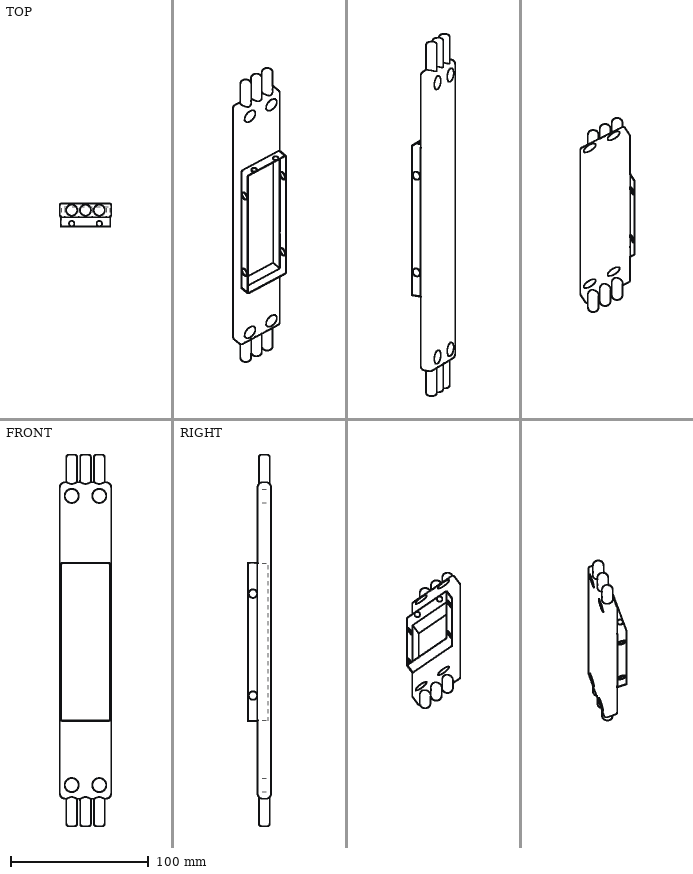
import cadquery as cq

OVERALL_DEPTH = 17.0
OVERALL_LENGTH = 270.0

BODY_WIDTH = 37.5
BODY_THICKNESS = 10.0
PIN_LENGTH = 20.0
BODY_LENGTH = OVERALL_LENGTH - 2 * PIN_LENGTH
BODY_END_RADIUS = 4.0
BODY_SIDE_RADIUS = 1.6

PIN_DIAMETER = 8.0
PIN_PITCH = 10.0
PIN_COUNT = 3
PIN_TIP_RADIUS = 2.0
PIN_ROOT_DEPTH = BODY_END_RADIUS

MOUNT_HOLE_DIAMETER = 10.0
MOUNT_HOLE_SPACING_X = 20.0
MOUNT_HOLE_SPACING_Z = 210.0

FRAME_WIDTH = 36.0
FRAME_LENGTH = 115.0
FRAME_CENTER_Z = -1.0
FRAME_DEPTH = OVERALL_DEPTH - BODY_THICKNESS
FRAME_WALL = 0.5
FRAME_CORNER_RADIUS = 1.3
OPENING_CORNER_RADIUS = 0.5
OPENING_WIDTH = FRAME_WIDTH - 2 * FRAME_WALL
OPENING_LENGTH = FRAME_LENGTH - 2 * FRAME_WALL

POCKET_FLOOR = 2.5
POCKET_DEPTH = BODY_THICKNESS - POCKET_FLOOR

SIDE_HOLE_DIAMETER = 6.0
SIDE_HOLE_SPACING = 74.0
SIDE_HOLE_CENTER_Z = -3.0
SIDE_HOLE_FROM_RIM = 3.75
TOP_HOLE_DIAMETER = 4.0
TOP_HOLE_SPACING = 20.0
TOP_HOLE_FROM_RIM = 2.2
TOP_RECESS_DEPTH = 0.1

BODY_FRONT_Y = -BODY_THICKNESS / 2
RIM_Y = BODY_FRONT_Y - FRAME_DEPTH


def make_body():
    """Rectangular bar with large end rounds and smaller rounds along its length."""
    body = cq.Workplane("XY").box(BODY_WIDTH, BODY_THICKNESS, BODY_LENGTH)
    body = body.faces("<Z or >Z").edges().fillet(BODY_END_RADIUS)
    return body.edges("|Z").fillet(BODY_SIDE_RADIUS)


def make_pins():
    """Rows of round-tipped pins, rooted inside both ends of the body."""
    root_z = BODY_LENGTH / 2 - PIN_ROOT_DEPTH
    upper = (
        cq.Workplane("XY", origin=(0, 0, root_z))
        .rarray(PIN_PITCH, 1, PIN_COUNT, 1)
        .circle(PIN_DIAMETER / 2)
        .extrude(PIN_LENGTH + PIN_ROOT_DEPTH)
        .faces(">Z")
        .edges()
        .fillet(PIN_TIP_RADIUS)
    )
    return upper.add(upper.mirror("XY")).combine()


def make_frame():
    """Outer block of the frame, with rounded corners, standing on the front face."""
    center_y = BODY_FRONT_Y - FRAME_DEPTH / 2
    return (
        cq.Workplane("XY", origin=(0, center_y, FRAME_CENTER_Z))
        .box(FRAME_WIDTH, FRAME_DEPTH, FRAME_LENGTH)
        .edges("|Y")
        .fillet(FRAME_CORNER_RADIUS)
    )


def make_opening():
    """Opening inside the frame, with slightly rounded corners."""
    center_y = RIM_Y + FRAME_DEPTH / 2
    return (
        cq.Workplane("XY", origin=(0, center_y, FRAME_CENTER_Z))
        .box(OPENING_WIDTH, FRAME_DEPTH, OPENING_LENGTH)
        .edges("|Y")
        .fillet(OPENING_CORNER_RADIUS)
    )


def make_pocket():
    """Sharp-cornered pocket that carries the opening on into the body."""
    center_y = BODY_FRONT_Y + POCKET_DEPTH / 2
    return cq.Workplane("XY", origin=(0, center_y, FRAME_CENTER_Z)).box(
        OPENING_WIDTH, POCKET_DEPTH, OPENING_LENGTH
    )


def make_mount_holes():
    """Four cylinders through the body thickness."""
    return (
        cq.Workplane("XZ", origin=(0, BODY_THICKNESS / 2, 0))
        .rarray(MOUNT_HOLE_SPACING_X, MOUNT_HOLE_SPACING_Z, 2, 2)
        .circle(MOUNT_HOLE_DIAMETER / 2)
        .extrude(BODY_THICKNESS)
    )


def make_side_holes():
    """Two cylinders crossing both side walls of the frame."""
    return (
        cq.Workplane("YZ", origin=(0, RIM_Y + SIDE_HOLE_FROM_RIM, SIDE_HOLE_CENTER_Z))
        .rarray(1, SIDE_HOLE_SPACING, 1, 2)
        .circle(SIDE_HOLE_DIAMETER / 2)
        .extrude(FRAME_WIDTH / 2, both=True)
    )


def make_top_cut(x, depth):
    """Cylinder that sinks into the upper wall of the frame from its outer side."""
    top_z = FRAME_CENTER_Z + FRAME_LENGTH / 2
    return (
        cq.Workplane("XY", origin=(x, RIM_Y + TOP_HOLE_FROM_RIM, top_z))
        .circle(TOP_HOLE_DIAMETER / 2)
        .extrude(-depth)
    )


result = (
    make_body()
    .union(make_pins())
    .union(make_frame())
    .cut(make_opening())
    .cut(make_pocket())
    .cut(make_mount_holes())
    .cut(make_side_holes())
    .cut(make_top_cut(-TOP_HOLE_SPACING / 2, FRAME_WALL))
    .cut(make_top_cut(TOP_HOLE_SPACING / 2, TOP_RECESS_DEPTH))
)